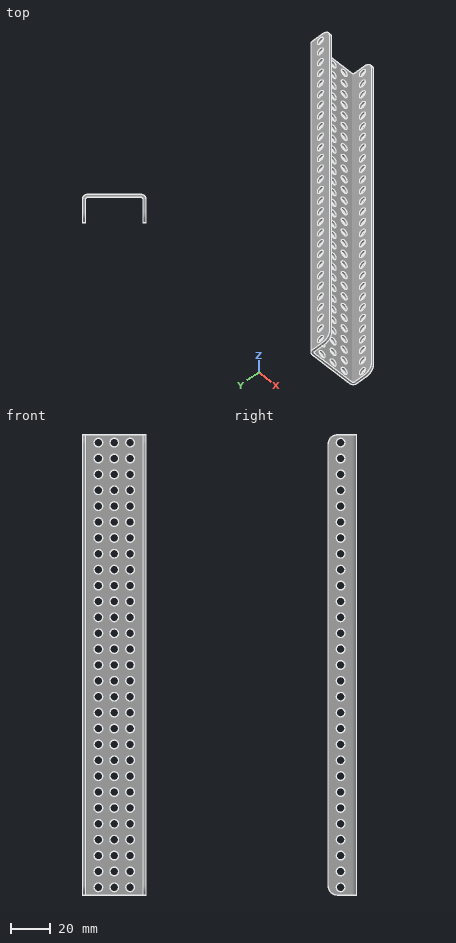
import cadquery as cq

LENGTH = 232.0
WIDTH = 32.0
DEPTH = 14.5

THICKNESS = 1.6
BEND_INNER_RADIUS = 0.84
BEND_OUTER_RADIUS = BEND_INNER_RADIUS + THICKNESS
FLANGE_CORNER_RADIUS = 4.9

ROWS = 29
WEB_COLUMNS = 3
PITCH = LENGTH / ROWS
HOLE_RADIUS = 2.1
FLANGE_HOLE_OFFSET = PITCH

WEB_BACK_Y = DEPTH / 2
OUTER_X = WIDTH / 2


def make_channel():
    """Bent U section, open toward -Y, centred on the origin."""
    outer = (
        cq.Workplane("XY")
        .box(WIDTH, DEPTH, LENGTH)
        .edges("|Z and >Y")
        .fillet(BEND_OUTER_RADIUS)
    )
    inner = (
        cq.Workplane("XY")
        .box(WIDTH - 2 * THICKNESS, DEPTH, LENGTH)
        .edges("|Z and >Y")
        .fillet(BEND_INNER_RADIUS)
        .translate((0, -THICKNESS, 0))
    )
    return outer.cut(inner)


def round_flange_corners(channel):
    """Round the free corners at both ends of each flange."""
    return channel.faces("<Y").edges("|X").fillet(FLANGE_CORNER_RADIUS)


def web_holes():
    """Rows and columns of holes through the web, along Y."""
    return (
        cq.Workplane("XZ", origin=(0, WEB_BACK_Y, 0))
        .rarray(PITCH, PITCH, WEB_COLUMNS, ROWS)
        .circle(HOLE_RADIUS)
        .extrude(THICKNESS)
    )


def flange_holes():
    """One line of holes running through both flanges, along X."""
    return (
        cq.Workplane("YZ", origin=(-OUTER_X, WEB_BACK_Y - FLANGE_HOLE_OFFSET, 0))
        .rarray(PITCH, PITCH, 1, ROWS)
        .circle(HOLE_RADIUS)
        .extrude(WIDTH)
    )


channel = round_flange_corners(make_channel())
result = channel.cut(web_holes()).cut(flange_holes())